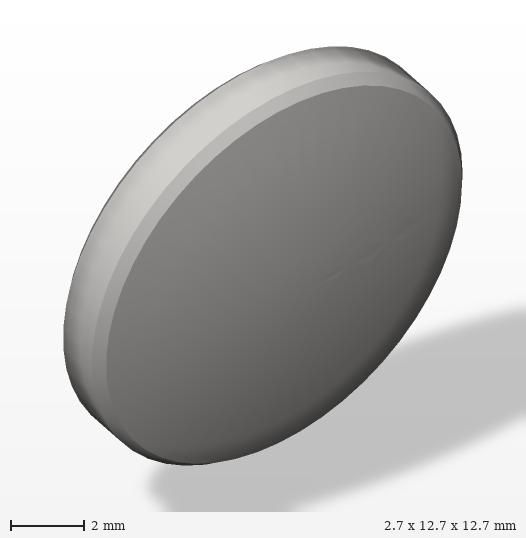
import cadquery as cq

diameter = 12.7
center_thickness = 2.7
dome_height = 0.85
back_chamfer = 0.25
front_chamfer_length = 0.3
front_chamfer_depth = 0.25

rim_radius = diameter / 2
back_radius = rim_radius - back_chamfer
dome_radius = rim_radius - front_chamfer_depth
dome_start = center_thickness - dome_height
rim_end = dome_start - front_chamfer_length

sphere_radius = (dome_radius**2 + dome_height**2) / (2 * dome_height)
sphere_center = center_thickness - sphere_radius
mid_radius = dome_radius / 2
mid_x = sphere_center + (sphere_radius**2 - mid_radius**2) ** 0.5

half_section = (
    cq.Workplane("XY")
    .moveTo(0, 0)
    .lineTo(0, back_radius)
    .lineTo(back_chamfer, rim_radius)
    .lineTo(rim_end, rim_radius)
    .lineTo(dome_start, dome_radius)
    .threePointArc((mid_x, mid_radius), (center_thickness, 0))
    .close()
)

lens = half_section.revolve(360, (0, 0, 0), (1, 0, 0))

result = lens.translate((-center_thickness / 2, 0, 0))